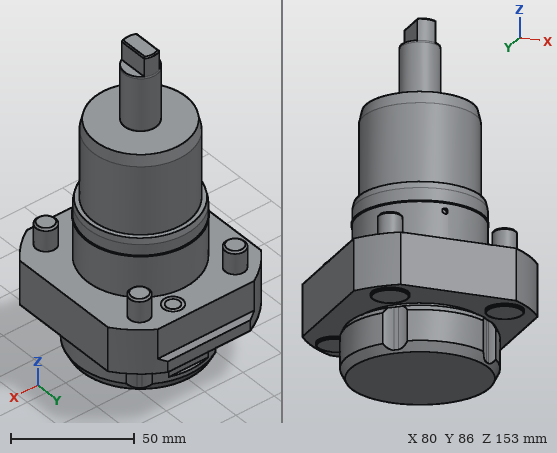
import cadquery as cq
import math

nut_height = 19.7
flange_bottom = 22.3
flange_top = 45.0
body_top = 75.0
barrel_top = 115.2
shaft_top = 143.2
tang_top = 153.0

body_radius = 27.5
body_bevel_width = 0.6
body_bevel_height = 2.8
barrel_radius = 24.8
barrel_bevel_width = 1.2
barrel_bevel_height = 5.2
shaft_diameter = 17.0
shaft_radius = shaft_diameter / 2
shaft_chamfer_width = 0.23
shaft_chamfer_height = 0.8
tang_width = 8.0
tang_chamfer = 0.6
neck_radius = 27.1

seal_projection = 0.3
seal_height = 0.5
seal_level = 66.1

side_hole_radius = 1.2
side_hole_depth = 1.5
side_hole_levels = (48.0, 62.7)

flange_width = 80.0
flange_depth = 84.0
flange_half_depth = flange_depth / 2
flange_corner_radius = 49.0
lip_projection = 2.0
lip_straight_height = 5.5

screw_x = 25.0
screw_y = 30.0
screw_radius = 5.0
screw_top = 56.5
screw_chamfer = 0.9
head_radius = 8.0
head_projection = 1.0
head_chamfer = 0.5

o_ring_x = 10.0
o_ring_y = 33.0
o_ring_outer_radius = 5.0
o_ring_inner_radius = 3.2
o_ring_projection = 0.5

nut_radius = 32.5
nut_top_radius = 31.4
nut_top_bevel = 2.3
nut_bottom_radius = 30.3
nut_bottom_bevel = 4.1

groove_angle = 50
groove_floor_radius = 30.9
groove_floor_width = 2.0
groove_width = 10.5
groove_clearance = 1.5

recess_distance = 30.8
recess_bottom = 6.3
recess_top = 15.0


def cylinder(radius, bottom, top, x=0, y=0):
    return cq.Workplane("XY", origin=(x, y, bottom)).circle(radius).extrude(top - bottom)


def revolve_profile(points):
    """Turn a closed (radius, height) outline about the Z axis."""
    return cq.Workplane("XZ").polyline(points).close().revolve(360, (0, 0), (0, 1))


def make_spindle():
    """Body, barrel and shaft as one turned shape."""
    shaft_end_radius = shaft_radius - shaft_chamfer_width
    return revolve_profile([
        (0, flange_bottom),
        (body_radius, flange_bottom),
        (body_radius, body_top - body_bevel_height),
        (body_radius - body_bevel_width, body_top),
        (barrel_radius, body_top),
        (barrel_radius, barrel_top - barrel_bevel_height),
        (barrel_radius - barrel_bevel_width, barrel_top),
        (shaft_end_radius, barrel_top),
        (shaft_radius, barrel_top + shaft_chamfer_height),
        (shaft_radius, shaft_top - shaft_chamfer_height),
        (shaft_end_radius, shaft_top),
        (0, shaft_top),
    ])


def make_tang():
    """Two-flat drive tang with round ends on the shaft."""
    tang_end_radius = shaft_radius - shaft_chamfer_width
    round_bar = cylinder(tang_end_radius, shaft_top, tang_top).faces(">Z").chamfer(tang_chamfer)
    flats = cq.Workplane("XY", origin=(0, 0, shaft_top)).rect(tang_width, 2 * shaft_radius)
    blade = flats.extrude(tang_top - shaft_top).faces(">Z").edges("|Y").chamfer(tang_chamfer)
    return round_bar.intersect(blade)


def make_flange():
    """Square plate with a bevelled lip low on the +Y side, trimmed by a round outline."""
    lip_y = flange_half_depth + lip_projection
    lip_top = flange_bottom + lip_straight_height
    side_outline = [
        (-flange_half_depth, flange_bottom),
        (lip_y, flange_bottom),
        (lip_y, lip_top),
        (flange_half_depth, lip_top + lip_projection),
        (flange_half_depth, flange_top),
        (-flange_half_depth, flange_top),
    ]
    plate = cq.Workplane("YZ").polyline(side_outline).close().extrude(flange_width / 2, both=True)
    return plate.intersect(cylinder(flange_corner_radius, flange_bottom, flange_top))


def make_screw(x, y):
    """Screw end above the flange and the screw head just below it."""
    stem = cylinder(screw_radius, flange_bottom, screw_top, x, y).faces(">Z").chamfer(screw_chamfer)
    head_bottom = flange_bottom - head_projection
    head = cylinder(head_radius, head_bottom, flange_top, x, y).faces("<Z").chamfer(head_chamfer)
    return stem.union(head)


def make_o_ring():
    """Torus sunk into the flange so only its crown stands proud."""
    section_radius = (o_ring_outer_radius - o_ring_inner_radius) / 2
    ring_radius = o_ring_inner_radius + section_radius
    center = cq.Vector(o_ring_x, o_ring_y, flange_top + o_ring_projection - section_radius)
    return cq.Workplane(cq.Solid.makeTorus(ring_radius, section_radius, center, cq.Vector(0, 0, 1)))


def make_groove(angle):
    """Cutter for one axial groove: flat floor with sides curving up out of it."""
    half_floor = groove_floor_width / 2
    half_width = groove_width / 2
    edge_radius = math.sqrt(nut_radius**2 - half_width**2)
    clear_radius = nut_radius + groove_clearance
    profile = (
        cq.Workplane("XY")
        .moveTo(groove_floor_radius, -half_floor)
        .lineTo(groove_floor_radius, half_floor)
        .tangentArcPoint((edge_radius, half_width), relative=False)
        .lineTo(clear_radius, half_width)
        .lineTo(clear_radius, -half_width)
        .lineTo(edge_radius, -half_width)
    )
    run = half_width - half_floor
    rise = edge_radius - groove_floor_radius
    arc_radius = (run**2 + rise**2) / (2 * rise)
    cutter = profile.radiusArc((groove_floor_radius, -half_floor), arc_radius).close().extrude(nut_height)
    return cutter.rotate((0, 0, 0), (0, 0, 1), angle)


def make_nut():
    nut = revolve_profile([
        (0, 0),
        (nut_bottom_radius, 0),
        (nut_radius, nut_bottom_bevel),
        (nut_radius, nut_height - nut_top_bevel),
        (nut_top_radius, nut_height),
        (0, nut_height),
    ])
    for angle in (groove_angle, 180 - groove_angle, 180 + groove_angle, -groove_angle):
        nut = nut.cut(make_groove(angle))
    recess = cq.Workplane("XY").box(
        2 * nut_radius, nut_radius, recess_top - recess_bottom, centered=(True, False, False)
    )
    return nut.cut(recess.translate((0, recess_distance, recess_bottom)))


result = make_spindle().union(make_tang()).union(make_flange())
result = result.union(cylinder(body_radius + seal_projection, seal_level, seal_level + seal_height))
for level in side_hole_levels:
    hole = cq.Workplane("XZ", origin=(0, side_hole_depth - body_radius, level)).circle(side_hole_radius)
    result = result.cut(hole.extrude(2 * side_hole_depth))

for x in (-screw_x, screw_x):
    for y in (-screw_y, screw_y):
        result = result.union(make_screw(x, y))

result = result.union(make_o_ring())
result = result.union(cylinder(neck_radius, nut_height, flange_bottom))
result = result.union(make_nut())